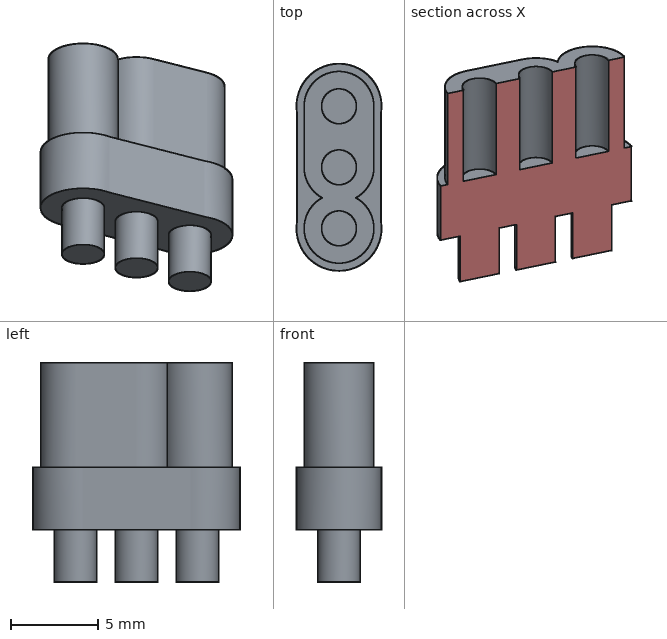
import cadquery as cq

pitch = 3.5
contact_places = [(0, -pitch), (0, 0), (0, pitch)]
pin_diameter = 2.45
socket_diameter = 2.0

total_height = 12.6
pin_length = 3.0
flange_height = 3.6
tower_height = total_height - pin_length - flange_height
socket_depth = tower_height

flange_end_diameter = 4.9
flange_flat_width = 4.84
tower_diameter = 4.01

flange_bottom = pin_length
flange_top = flange_bottom + flange_height
tower_top = total_height


def cylinders(places, diameter, bottom, height):
    """Upright cylinders of one size at the given XY places."""
    return cq.Workplane("XY", origin=(0, 0, bottom)).pushPoints(places).circle(diameter / 2).extrude(height)


def make_flange():
    """Two round ends joined by a slightly narrower flat-sided block."""
    ends = cylinders([(0, -pitch), (0, pitch)], flange_end_diameter, flange_bottom, flange_height)
    middle = (
        cq.Workplane("XY", origin=(0, 0, flange_bottom))
        .rect(flange_flat_width, 2 * pitch)
        .extrude(flange_height)
    )
    return middle.union(ends)


def make_tower():
    """An oblong around two sockets, merged with a round barrel around the third."""
    oblong = (
        cq.Workplane("XY", origin=(0, pitch / 2, flange_top))
        .slot2D(pitch + tower_diameter, tower_diameter, angle=90)
        .extrude(tower_height)
    )
    barrel = cylinders([(0, -pitch)], tower_diameter, flange_top, tower_height)
    return oblong.union(barrel)


pins = cylinders(contact_places, pin_diameter, 0, pin_length)
sockets = cylinders(contact_places, socket_diameter, tower_top - socket_depth, socket_depth)

result = make_flange().union(make_tower()).union(pins).cut(sockets)